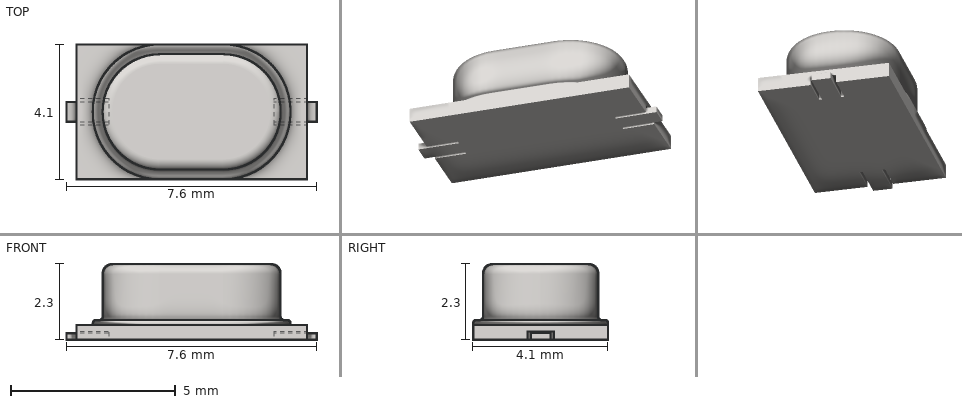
import cadquery as cq

base_length = 7.0
base_width = 4.1
base_height = 0.45

overall_length = 7.6
lead_width = 0.6
lead_thickness = 0.2
notch_depth = 1.0
notch_side_gap = 0.1
notch_top_gap = 0.05
lead_overhang = (overall_length - base_length) / 2
lead_length = lead_overhang + notch_depth
notch_width = lead_width + 2 * notch_side_gap
notch_height = lead_thickness + notch_top_gap

overall_height = 2.3
flange_length = 6.0
flange_width = base_width
flange_overhang = 0.3
flange_thickness = 0.15
flange_fillet = 0.1
foot_fillet = 0.1
top_fillet = 0.3
end_flat = 0.02
can_length = flange_length - 2 * flange_overhang
can_width = flange_width - 2 * flange_overhang
can_height = overall_height - base_height - flange_thickness
flange_top = base_height + flange_thickness

END_SIDES = (-1, 1)


def rounded_block(length, width, height, bottom):
    """Block with nearly semicircular ends, its underside at the given Z."""
    return (
        cq.Workplane("XY", origin=(0, 0, bottom))
        .rect(length, width)
        .extrude(height)
        .edges("|Z")
        .fillet((width - end_flat) / 2)
    )


def end_bar(side, outer_x, length, width, height):
    """Bar resting on Z = 0 that runs inward from outer_x at one end of the base."""
    center_x = side * (outer_x - length / 2)
    return cq.Workplane("XY", origin=(center_x, 0, 0)).rect(length, width).extrude(height)


def make_base():
    """Flat plate with a lead notch at the bottom of each end."""
    plate = cq.Workplane("XY").rect(base_length, base_width).extrude(base_height)
    for side in END_SIDES:
        plate = plate.cut(end_bar(side, base_length / 2, notch_depth, notch_width, notch_height))
    return plate


def make_cap():
    """Flange with a rounded rim, blended into the can with its rounded top."""
    flange = rounded_block(flange_length, flange_width, flange_thickness, base_height)
    flange = flange.faces(">Z").edges().fillet(flange_fillet)
    can = rounded_block(can_length, can_width, can_height, flange_top)
    can = can.faces(">Z").edges().fillet(top_fillet)
    foot_edges = cq.selectors.BoxSelector(
        (-can_length / 2 - foot_fillet / 2, -can_width / 2 - foot_fillet / 2, flange_top - foot_fillet / 2),
        (can_length / 2 + foot_fillet / 2, can_width / 2 + foot_fillet / 2, flange_top + foot_fillet / 2),
    )
    return flange.union(can).edges(foot_edges).fillet(foot_fillet)


def make_lead(side):
    """Flat lead that sticks out of the base and ends at the back of its notch."""
    return end_bar(side, overall_length / 2, lead_length, lead_width, lead_thickness)


base = make_base()
cap = make_cap()
leads = [make_lead(side) for side in END_SIDES]

result = cq.Compound.makeCompound([base.val(), cap.val(), *[lead.val() for lead in leads]])